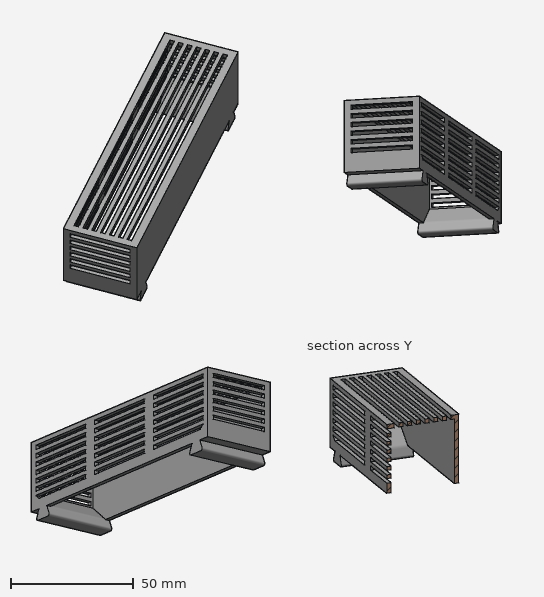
import cadquery as cq

width = 32.0
length = 120.0
height = 30.0
wall = 2.0

ramp_height = 7.3
ramp_blend_radius = 3.0

foot_height = 4.8
foot_center_inset = 8.0
foot_neck = 5.4
foot_base = 9.3
foot_base_radius = 0.85

slot_height = 1.8
slot_pitch = 3.6
slot_top_gap = 2.1
end_slot_count = 6
end_slot_length = 26.0
side_slot_count = 7
side_bay_count = 3
side_bay_pitch = length / side_bay_count
side_slot_length = 33.6

top_slot_count = 7
top_slot_width = 1.9
top_slot_pitch = 3.85
top_slot_length = 113.4

clearance = 1.0
wall_cut = wall + 2 * clearance


def make_cover():
    outer = cq.Workplane("XY").box(width, length, height, centered=(True, True, False))
    cavity = cq.Workplane("XY").box(
        width - 2 * wall, length - 2 * wall, height - wall, centered=(True, True, False)
    )
    return outer.cut(cavity)


def make_end_block(end):
    """Ramp and foot across the full width, at side end (-1 or 1) of Y."""

    def y_at(inset):
        return end * (length / 2 - inset)

    neck_inner = foot_center_inset + foot_neck / 2
    neck_outer = foot_center_inset - foot_neck / 2
    base_inner = foot_center_inset + foot_base / 2
    base_outer = foot_center_inset - foot_base / 2
    block = (
        cq.Workplane("YZ")
        .moveTo(y_at(wall), 0)
        .lineTo(y_at(wall), ramp_height)
        .lineTo(y_at(neck_inner), 0)
        .lineTo(y_at(base_inner), -foot_height)
        .lineTo(y_at(base_outer), -foot_height)
        .lineTo(y_at(neck_outer), 0)
        .close()
        .extrude(width / 2, both=True)
    )
    block = block.faces("<Z").edges("|X").fillet(foot_base_radius)
    ramp_foot_edge = cq.selectors.NearestToPointSelector((0, y_at(neck_inner), 0))
    return block.edges("|X").edges(ramp_foot_edge).fillet(ramp_blend_radius)


def louvre_height(row):
    """Z of the middle of a louvre slot, counting rows down from the top."""
    return height - slot_top_gap - slot_height / 2 - row * slot_pitch


def cut_end_slots(body):
    for row in range(end_slot_count):
        slot = cq.Workplane("XY").box(end_slot_length, length + 2 * clearance, slot_height)
        body = body.cut(slot.translate((0, 0, louvre_height(row))))
    return body


def cut_side_slots(body, wall_x):
    for bay in range(side_bay_count):
        bay_y = (bay - (side_bay_count - 1) / 2) * side_bay_pitch
        for row in range(side_slot_count):
            slot = cq.Workplane("XY").box(wall_cut, side_slot_length, slot_height)
            body = body.cut(slot.translate((wall_x, bay_y, louvre_height(row))))
    return body


def cut_top_slots(body):
    slots = (
        cq.Workplane("XY")
        .rarray(top_slot_pitch, 1, top_slot_count, 1)
        .rect(top_slot_width, top_slot_length)
        .extrude(wall_cut)
        .translate((0, 0, height - wall - clearance))
    )
    return body.cut(slots)


cover = make_cover()
cover = cut_end_slots(cover)
cover = cut_side_slots(cover, -(width - wall) / 2)
cover = cut_top_slots(cover)
for end in (-1, 1):
    cover = cover.union(make_end_block(end))

result = cover